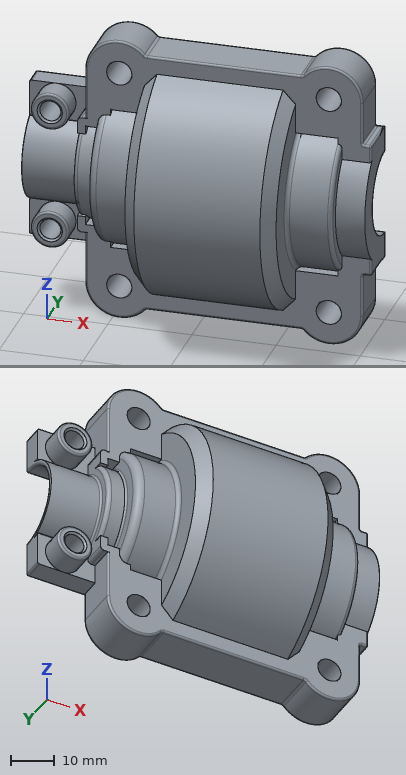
import cadquery as cq
import math


TOTAL_LENGTH = 83
TOTAL_HEIGHT = 70.0

FLANGE_DEPTH = 11.0
FLANGE_X0 = 15.0
FLANGE_X1 = 80.9
FLANGE_HALF_HEIGHT = 32.0
LOBE_RADIUS = 8.05
LOBE_X = (FLANGE_X0 + LOBE_RADIUS, FLANGE_X1 - LOBE_RADIUS)
LOBE_Z = TOTAL_HEIGHT / 2 - LOBE_RADIUS
BOLT_HOLE_DIAMETER = 6.0
EDGE_ROUND = 0.5
CORNER_ROUND = 1.0

LUG_HALF_HEIGHT = 16.4

DRUM_RADIUS = 30.0
DRUM_X0 = 29.05
DRUM_X1 = 65.0
DRUM_CHAMFER = 3.0
COLLAR_RADIUS = 19.4
LEFT_COLLAR_X = 18.0
LEFT_COLLAR_ROUND = 2.0
RIGHT_COLLAR_X = 76.0
NECK_RADIUS = 14.5
NECK_X = 13.1
LEFT_TUBE_RADIUS = 11.5
RIGHT_TUBE_RADIUS = 16.4
BORE_RADIUS = 10.3

COLLAR_RECESS_HALF_HEIGHT = 17.4
COLLAR_RECESS_X0 = 21.0
COLLAR_RECESS_X1 = RIGHT_COLLAR_X - CORNER_ROUND
NECK_RECESS_HALF_HEIGHT = 12.45

PAD_DEPTH = 5.1
PAD_Z0 = 10.45
BOSS_DIAMETER = 9.0
BOSS_X = 6.55
BOSS_Z = PAD_Z0 + BOSS_DIAMETER / 2
PAD_Z1 = PAD_Z0 + BOSS_DIAMETER
SCREW_HOLE_DIAMETER = 5
STEP_Z1 = 14.45


def box(x0, x1, depth, z0, z1):
    """Block reaching from the split plane to Y = -depth."""
    return cq.Workplane("XY").box(x1 - x0, depth, z1 - z0, centered=False).translate((x0, -depth, z0))


def rod(x, z, diameter, depth):
    """Cylinder along Y reaching from the split plane to Y = -depth."""
    return cq.Workplane("XZ").center(x, z).circle(diameter / 2).extrude(depth)


def round_along_y(plate, x, z, radius):
    """Round the flange corners that run along Y at (x, z) and (x, -z)."""
    for side in (-1, 1):
        corner = cq.NearestToPointSelector((x, -FLANGE_DEPTH / 2, side * z))
        plate = plate.edges("|Y").edges(corner).fillet(radius)
    return plate


def flange():
    """Plate with four bolt lobes, a lug at the right end and rounded rims."""
    plate = box(FLANGE_X0, FLANGE_X1, FLANGE_DEPTH, -LOBE_Z, LOBE_Z)
    plate = plate.union(box(*LOBE_X, FLANGE_DEPTH, -FLANGE_HALF_HEIGHT, FLANGE_HALF_HEIGHT))
    for x in LOBE_X:
        for z in (-LOBE_Z, LOBE_Z):
            plate = plate.union(rod(x, z, 2 * LOBE_RADIUS, FLANGE_DEPTH))
    plate = plate.union(box(LOBE_X[1], TOTAL_LENGTH, FLANGE_DEPTH, -LUG_HALF_HEIGHT, LUG_HALF_HEIGHT))

    lobe_reach = math.sqrt(LOBE_RADIUS**2 - (FLANGE_HALF_HEIGHT - LOBE_Z) ** 2)
    for x in (LOBE_X[0] + lobe_reach, LOBE_X[1] - lobe_reach):
        plate = round_along_y(plate, x, FLANGE_HALF_HEIGHT, CORNER_ROUND)
    plate = round_along_y(plate, FLANGE_X1, LUG_HALF_HEIGHT, EDGE_ROUND)
    plate = plate.edges("<Y or >Y or (|Y and >X)").fillet(EDGE_ROUND)

    for x in LOBE_X:
        for z in (-LOBE_Z, LOBE_Z):
            plate = plate.cut(rod(x, z, BOLT_HOLE_DIAMETER, FLANGE_DEPTH))
    return plate


def recesses():
    """Stepped openings in the flange, later filled up to the turned surfaces by the body."""
    neck_half = NECK_RECESS_HALF_HEIGHT
    collar_half = COLLAR_RECESS_HALF_HEIGHT
    neck_recess = box(FLANGE_X0, LEFT_COLLAR_X, FLANGE_DEPTH, -neck_half, neck_half)
    collar_recess = box(COLLAR_RECESS_X0, COLLAR_RECESS_X1, FLANGE_DEPTH, -collar_half, collar_half)
    return neck_recess.union(collar_recess)


def clamp_end(side):
    """Pad with its screw boss, and the step against the neck, on one side of the shaft."""
    pad = box(0, FLANGE_X0 + EDGE_ROUND, PAD_DEPTH, PAD_Z0, PAD_Z1)
    pad = pad.edges("|Y and <X").fillet(EDGE_ROUND)
    step = box(NECK_X, FLANGE_X0 + EDGE_ROUND, FLANGE_DEPTH, NECK_RECESS_HALF_HEIGHT, STEP_Z1)
    step = step.union(box(NECK_X, FLANGE_X0, FLANGE_DEPTH, PAD_Z0, STEP_Z1))
    step = step.edges("|Y and <X and >Z").fillet(CORNER_ROUND)
    boss = rod(BOSS_X, BOSS_Z, BOSS_DIAMETER, FLANGE_DEPTH).faces("<Y").edges().fillet(EDGE_ROUND)
    end = pad.union(boss).cut(rod(BOSS_X, BOSS_Z, SCREW_HOLE_DIAMETER, FLANGE_DEPTH))
    end = end.faces("<Y").edges(cq.selectors.RadiusNthSelector(0)).chamfer(EDGE_ROUND)
    end = end.union(step)
    return end if side > 0 else end.mirror("XY")


def body():
    """Turned outer shape, revolved about X and halved at the split plane."""
    profile = cq.Workplane("XY").lineTo(0, LEFT_TUBE_RADIUS)
    profile = profile.lineTo(NECK_X - EDGE_ROUND, LEFT_TUBE_RADIUS)
    profile = profile.radiusArc((NECK_X, LEFT_TUBE_RADIUS + EDGE_ROUND), -EDGE_ROUND)
    profile = profile.lineTo(NECK_X, NECK_RADIUS - CORNER_ROUND)
    profile = profile.radiusArc((NECK_X + CORNER_ROUND, NECK_RADIUS), CORNER_ROUND)
    profile = profile.lineTo(LEFT_COLLAR_X - EDGE_ROUND, NECK_RADIUS)
    profile = profile.radiusArc((LEFT_COLLAR_X, NECK_RADIUS + EDGE_ROUND), -EDGE_ROUND)
    profile = profile.lineTo(LEFT_COLLAR_X, COLLAR_RADIUS - LEFT_COLLAR_ROUND)
    profile = profile.radiusArc((LEFT_COLLAR_X + LEFT_COLLAR_ROUND, COLLAR_RADIUS), LEFT_COLLAR_ROUND)
    profile = profile.lineTo(DRUM_X0 - CORNER_ROUND, COLLAR_RADIUS)
    profile = profile.radiusArc((DRUM_X0, COLLAR_RADIUS + CORNER_ROUND), -CORNER_ROUND)
    profile = profile.lineTo(DRUM_X0, DRUM_RADIUS - DRUM_CHAMFER)
    profile = profile.lineTo(DRUM_X0 + DRUM_CHAMFER, DRUM_RADIUS)
    profile = profile.lineTo(DRUM_X1 - DRUM_CHAMFER, DRUM_RADIUS)
    profile = profile.lineTo(DRUM_X1, DRUM_RADIUS - DRUM_CHAMFER)
    profile = profile.lineTo(DRUM_X1, COLLAR_RADIUS + CORNER_ROUND)
    profile = profile.radiusArc((DRUM_X1 + CORNER_ROUND, COLLAR_RADIUS), -CORNER_ROUND)
    profile = profile.lineTo(RIGHT_COLLAR_X - CORNER_ROUND, COLLAR_RADIUS)
    profile = profile.radiusArc((RIGHT_COLLAR_X, COLLAR_RADIUS - CORNER_ROUND), CORNER_ROUND)
    profile = profile.lineTo(RIGHT_COLLAR_X, RIGHT_TUBE_RADIUS)
    profile = profile.lineTo(TOTAL_LENGTH, RIGHT_TUBE_RADIUS)
    profile = profile.lineTo(TOTAL_LENGTH, 0).close()
    turned = profile.revolve(360, (0, 0, 0), (1, 0, 0))
    return turned.intersect(box(0, TOTAL_LENGTH, DRUM_RADIUS, -DRUM_RADIUS, DRUM_RADIUS))


def bore():
    """Straight bore through the whole length, with a rounded left mouth."""
    profile = cq.Workplane("XY").lineTo(0, BORE_RADIUS + EDGE_ROUND)
    profile = profile.radiusArc((EDGE_ROUND, BORE_RADIUS), -EDGE_ROUND)
    profile = profile.lineTo(TOTAL_LENGTH, BORE_RADIUS)
    profile = profile.lineTo(TOTAL_LENGTH, 0).close()
    return profile.revolve(360, (0, 0, 0), (1, 0, 0))


result = flange().cut(recesses()).union(body())
for side in (-1, 1):
    result = result.union(clamp_end(side))
result = result.cut(bore())